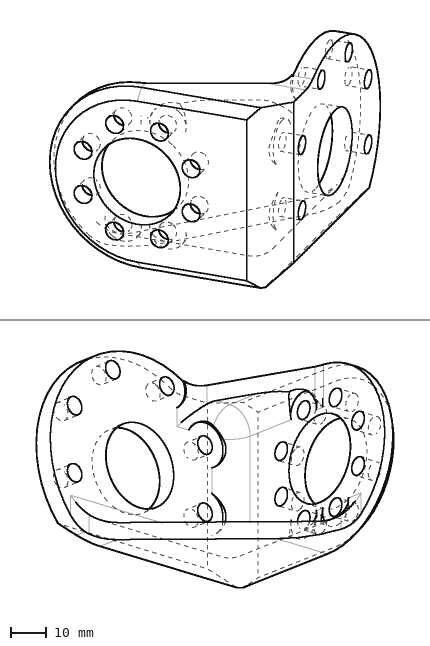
import cadquery as cq
import math

LENGTH_X = 70.5
LENGTH_Y = 73.0
HEIGHT = 55.05
PLATE = 6.0
RIB = 5.05
OUTLINE_BLEND = 10.0
FILLET = 7.5
MID_Z = HEIGHT / 2
FRONT_X = -LENGTH_X + MID_Z
DISC_RADIUS = 33.0
DISC_Y = LENGTH_Y - DISC_RADIUS
MARGIN = 7.3
PICK_REACH = 0.7

FRONT_EDGE_CHAMFER = 3.0
CORNER_CHAMFER = 10.0
LOWER_CHAMFER = 6.0

TOP_RIB_FOOT_X = FRONT_X
TOP_RIB_HEAD_Y = 21.3
BOTTOM_RIB_FOOT_X = -57.1
BOTTOM_RIB_HEAD_Y = 62.7

HOLE_DIAMETER = 5.3
FRONT_BORE_RADIUS = 13.0
FRONT_BOLT_RADIUS = 17.6
FRONT_CLEARANCE_RADIUS = 5.5
DISC_BORE_RADIUS = 12.5
DISC_BOLT_RADIUS = 26.0
DISC_BOLT_Z = MID_Z + 2.0
DISC_CLEARANCE_RADIUS = 6.65


def flange_outline():
    """Disc blended into the straight-sided end, filling the whole X length."""
    straight = cq.Workplane("YZ").rect(DISC_Y, HEIGHT, centered=False).extrude(-LENGTH_X)
    disc = cq.Workplane("YZ").center(DISC_Y, MID_Z).circle(DISC_RADIUS).extrude(-LENGTH_X)
    above_base = cq.Workplane("XY").box(
        LENGTH_X, LENGTH_Y, HEIGHT + MARGIN, centered=False
    ).translate((-LENGTH_X, 0, 0))
    outline = straight.union(disc).intersect(above_base)

    crossing = math.sqrt(DISC_RADIUS**2 - MID_Z**2)
    for y, z in ((DISC_Y - crossing, HEIGHT), (DISC_Y + crossing, 0)):
        corner = cq.selectors.BoxSelector(
            (-LENGTH_X, y - PICK_REACH, z - PICK_REACH),
            (0, y + PICK_REACH, z + PICK_REACH),
        )
        outline = outline.edges("|X").edges(corner).fillet(OUTLINE_BLEND)
    return outline


def front_outline():
    """Round-ended plate outline with a chamfered front edge, clear behind the plate."""
    rounded = (
        cq.Workplane("XZ")
        .moveTo(CORNER_CHAMFER, 0)
        .lineTo(FRONT_X, 0)
        .threePointArc((-LENGTH_X, MID_Z), (FRONT_X, HEIGHT))
        .lineTo(CORNER_CHAMFER, HEIGHT)
        .close()
        .extrude(-LENGTH_Y)
        .faces("<Y")
        .chamfer(FRONT_EDGE_CHAMFER)
    )
    behind = cq.Workplane("XY").box(
        -FRONT_X, LENGTH_Y - PLATE, HEIGHT + MARGIN, centered=False
    ).translate((FRONT_X, PLATE, 0))
    return rounded.union(behind)


def plan_profile(foot_x, head_y, bottom_z, top_z):
    """Both plates with the rib between them, its sloping edge blended at each end."""
    profile = (
        cq.Workplane("XY")
        .workplane(offset=bottom_z)
        .polyline([
            (-CORNER_CHAMFER, 0),
            (0, CORNER_CHAMFER),
            (0, LENGTH_Y),
            (-PLATE, LENGTH_Y),
            (-PLATE, head_y),
            (foot_x, PLATE),
            (-LENGTH_X, PLATE),
            (-LENGTH_X, 0),
        ])
        .close()
        .extrude(top_z - bottom_z)
    )
    for x, y in ((-PLATE, head_y), (foot_x, PLATE)):
        corner = cq.selectors.BoxSelector(
            (x - PICK_REACH, y - PICK_REACH, bottom_z),
            (x + PICK_REACH, y + PICK_REACH, top_z),
        )
        profile = profile.edges("|Z").edges(corner).fillet(FILLET)
    return profile


def pocket():
    """Space between the ribs, blended into both ribs and both plates."""
    return (
        cq.Workplane("XY")
        .box(LENGTH_X + MARGIN, LENGTH_Y + MARGIN, HEIGHT - 2 * RIB, centered=False)
        .translate((-LENGTH_X - MARGIN - PLATE, PLATE, RIB))
        .edges("(>X and >Z) or (>X and <Z) or (<Y and >Z) or (<Y and <Z) or (>X and <Y)")
        .fillet(FILLET)
    )


def bolt_circle(center, radius):
    """Eight places around a center, none of them on the axes."""
    angles = [math.radians(45 * (i + 0.5)) for i in range(8)]
    return [(center[0] + radius * math.cos(a), center[1] + radius * math.sin(a)) for a in angles]


def lower_corner():
    """Wedge removed along the lower edge of the side flange."""
    return (
        cq.Workplane("XZ")
        .polyline([(-LOWER_CHAMFER, 0), (0, 0), (0, LOWER_CHAMFER)])
        .close()
        .extrude(-LENGTH_Y)
    )


plan = plan_profile(BOTTOM_RIB_FOOT_X, BOTTOM_RIB_HEAD_Y, 0, MID_Z).union(
    plan_profile(TOP_RIB_FOOT_X, TOP_RIB_HEAD_Y, MID_Z, HEIGHT + MARGIN)
)
body = flange_outline().intersect(plan).intersect(front_outline())
body = body.cut(pocket()).cut(lower_corner())

front_bolts = bolt_circle((FRONT_X, MID_Z), FRONT_BOLT_RADIUS)
front_plane = cq.Workplane("XZ")
inside_front = cq.Workplane("XZ", origin=(0, PLATE, 0))
body = body.cut(front_plane.center(FRONT_X, MID_Z).circle(FRONT_BORE_RADIUS).extrude(-PLATE))
body = body.cut(front_plane.pushPoints(front_bolts).circle(HOLE_DIAMETER / 2).extrude(-PLATE))
body = body.cut(inside_front.pushPoints(front_bolts).circle(FRONT_CLEARANCE_RADIUS).extrude(-FILLET))

disc_bolts = [
    (y, z) for y, z in bolt_circle((DISC_Y, DISC_BOLT_Z), DISC_BOLT_RADIUS) if z > RIB + FILLET
]
flange_plane = cq.Workplane("YZ")
inside_flange = cq.Workplane("YZ", origin=(-PLATE, 0, 0))
body = body.cut(flange_plane.center(DISC_Y, MID_Z).circle(DISC_BORE_RADIUS).extrude(-PLATE))
body = body.cut(flange_plane.pushPoints(disc_bolts).circle(HOLE_DIAMETER / 2).extrude(-PLATE))
body = body.cut(inside_flange.pushPoints(disc_bolts).circle(DISC_CLEARANCE_RADIUS).extrude(-FILLET))

result = body